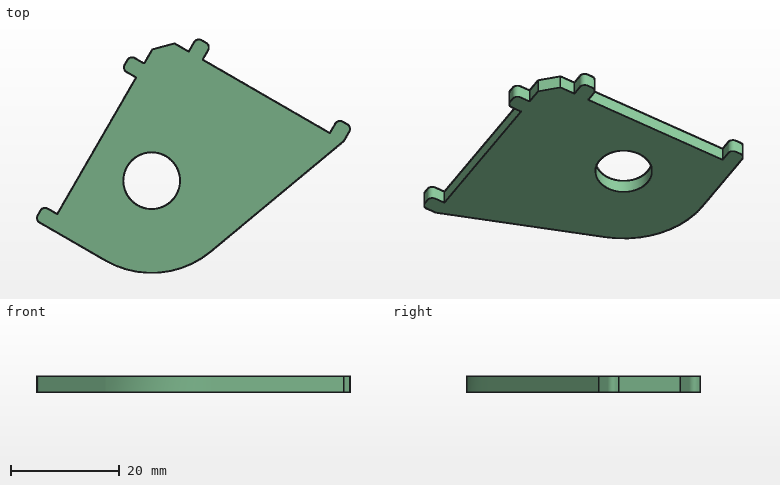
import cadquery as cq
import math

thickness = 3.0
turn_angle = 30.0

hole_diameter = 10.4
round_radius = 17.0
left_edge = -12.0
top_edge = 24.0
corner_chamfer = 3.0

tab_width = 3.0
tab_length = 3.0
tab_corner_radius = 1.0
left_tab_starts = (-round_radius, 15.0)
top_tab_starts = (-6.0, 24.0)

right_corner = (top_tab_starts[-1] + tab_width, top_edge)


def on_round(angle):
    """Point on the rounded corner at an angle in radians from +X."""
    return (round_radius * math.cos(angle), round_radius * math.sin(angle))


def make_body():
    """Plate outline without tabs; the slanted edge is tangent to the rounded corner."""
    corner_distance = math.hypot(*right_corner)
    corner_angle = math.atan2(right_corner[1], right_corner[0])
    tangent_angle = corner_angle - math.acos(round_radius / corner_distance)
    bottom_angle = -math.pi / 2
    middle_angle = (bottom_angle + tangent_angle) / 2
    return (
        cq.Workplane("XY")
        .moveTo(left_edge, -round_radius)
        .lineTo(*on_round(bottom_angle))
        .threePointArc(on_round(middle_angle), on_round(tangent_angle))
        .lineTo(*right_corner)
        .lineTo(left_edge + corner_chamfer, top_edge)
        .lineTo(left_edge, top_edge - corner_chamfer)
        .close()
        .extrude(thickness)
    )


def make_left_tab(start):
    """Tab pointing left from the left edge, with rounded outer corners."""
    return (
        cq.Workplane("XY")
        .box(tab_length, tab_width, thickness, centered=False)
        .edges("|Z and <X")
        .fillet(tab_corner_radius)
        .translate((left_edge - tab_length, start, 0))
    )


def make_top_tab(start):
    """Tab pointing up from the top edge, with rounded outer corners."""
    return (
        cq.Workplane("XY")
        .box(tab_width, tab_length, thickness, centered=False)
        .edges("|Z and >Y")
        .fillet(tab_corner_radius)
        .translate((start, top_edge, 0))
    )


plate = make_body()
for tab_start in left_tab_starts:
    plate = plate.union(make_left_tab(tab_start))
for tab_start in top_tab_starts:
    plate = plate.union(make_top_tab(tab_start))

hole = cq.Workplane("XY").circle(hole_diameter / 2).extrude(thickness)
plate = plate.cut(hole).clean()

result = plate.rotate((0, 0, 0), (0, 0, 1), -turn_angle)